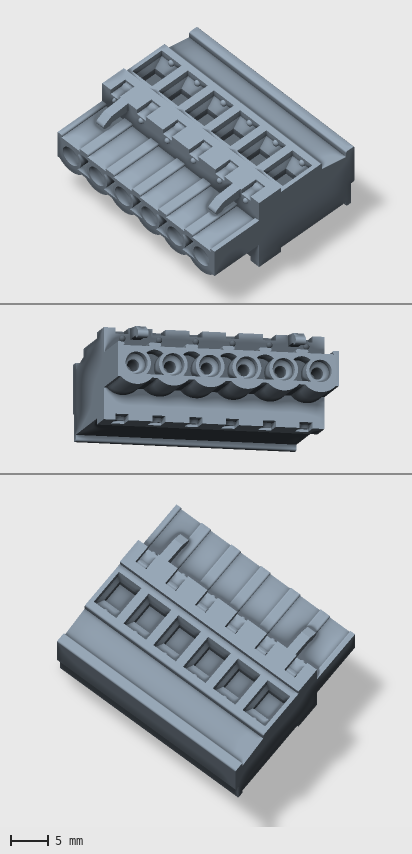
import cadquery as cq
import math


width = 30.48
depth = 26.0
height = 12.6
poles = 6
pitch = width / poles
pole_xs = [(i - (poles - 1) / 2) * pitch for i in range(poles)]
gap_xs = [(i - poles / 2) * pitch for i in range(poles + 1)]

plug_length = 8.3
collar_back = 12.3
step = 0.82
deck_z = height - step
deck_back = 19.95
slope_top_z = 10.67
slope_bottom_z = 9.7
ridge_front = 24.45
ridge_z = 10.7
heel_y = 25.4
heel_z = 3.85
edge_round = 0.25

plug_bottom_z = 4.35
plug_top_z = 9.15
hole_z = 6.3
shell_radius = 2.9
hole_radius = 1.52
bore_radius = 0.82
hole_depth = 1.5
funnel_depth = 0.52
bore_end = 6.7

rib_height = 0.5
rib_flat = 1.22
rib_round = rib_height / 2

relief_radius = 1.98
relief_bottom_z = 4.82
relief_corner_z = 7.75
relief_top_z = 8.2
relief_depth = 3.05

window_width = 3.85
window_front = 13.3
window_back = 18.78
window_lean = 0.25
taper_top_z = 10.67
taper_bottom_z = 9.8
well_width = 2.9
well_front = 13.7
well_back = 17.1
well_floor_z = 8.78

notch_width = 1.8
notch_back = 11.0
stop_width = 1.45
stop_ramp_front = 9.95
stop_ramp_back = 10.52
stop_height = 0.45

collar_pip_radius = 0.43
window_pip_radius = 0.5
collar_pip_z = 11.13
window_pip_z = 10.8

hook_width = 1.43
hook_x = 10.88
hook_bend_y = 5.15
hook_bend_z = 12.3
hook_tip_y = 3.7
hook_tip_z = 10.67
hook_tip_radius = 0.5
hook_under_z = 11.03
barb_back = 5.25
barb_front = 4.9


def along_x(sketch, length):
    """Extrude a closed (Y, Z) outline along X, centred on X = 0."""
    return sketch.extrude(length).translate((-length / 2, 0, 0))


def box(x_size, y_range, z_range):
    """Box centred on X = 0 that spans the given Y and Z ranges."""
    size_y = y_range[1] - y_range[0]
    size_z = z_range[1] - z_range[0]
    solid = cq.Workplane("XY").box(x_size, size_y, size_z, centered=(True, False, False))
    return solid.translate((0, y_range[0], z_range[0]))


def make_housing():
    outline = [
        (plug_length, 0),
        (plug_length, height),
        (collar_back, height),
        (collar_back, deck_z),
        (deck_back, deck_z),
        (deck_back, slope_top_z),
        (ridge_front, slope_bottom_z),
        (ridge_front, ridge_z),
        (depth, ridge_z),
        (depth, heel_z),
        (heel_y, heel_z),
        (heel_y, 0),
        (ridge_front, 0),
        (ridge_front, step),
        (collar_back, step),
        (collar_back, 0),
    ]
    rounded = [
        (deck_back, deck_z),
        (ridge_front, ridge_z),
        (depth, ridge_z),
        (depth, heel_z),
        (ridge_front, 0),
    ]
    reach = edge_round / 4
    housing = along_x(cq.Workplane("YZ").polyline(outline).close(), width)
    for y, z in rounded:
        low = (-reach, y - reach, z - reach)
        high = (reach, y + reach, z + reach)
        corner = cq.selectors.BoxSelector(low, high)
        housing = housing.edges(corner).fillet(edge_round)
    return housing


def make_plug():
    floor_z = plug_top_z - rib_height
    plug = box(width, (0, plug_length), (plug_bottom_z, floor_z))
    for x in pole_xs:
        shell = cq.Workplane("XZ").center(x, hole_z).circle(shell_radius).extrude(-plug_length)
        plug = plug.union(shell)
    rib = box(rib_flat, (0, plug_length), (floor_z, plug_top_z))
    for side in (-1, 1):
        edge = cq.Workplane("XZ").center(side * rib_flat / 2, floor_z + rib_round)
        rib = rib.union(edge.circle(rib_round).extrude(-plug_length))
    plug = plug.intersect(box(width, (0, plug_length), (0, floor_z)))
    for x in gap_xs:
        plug = plug.union(rib.translate((x, 0, 0)))
    return plug.intersect(box(width, (0, plug_length), (0, plug_top_z)))


def make_contact_hole():
    profile = [
        (0, 0),
        (hole_radius, 0),
        (hole_radius, hole_depth),
        (bore_radius, hole_depth + funnel_depth),
        (bore_radius, bore_end),
        (0, bore_end),
    ]
    hole = cq.Workplane("XY").polyline(profile).close().revolve(360, (0, 0, 0), (0, 1, 0))
    return hole.translate((0, 0, hole_z))


def make_relief():
    def shell_x(z):
        """Half width of the relief where it meets the wall round a hole."""
        return pitch / 2 - math.sqrt(relief_radius**2 - (z - hole_z) ** 2)

    bottom_x = shell_x(relief_bottom_z)
    corner_x = shell_x(relief_corner_z)
    waist_x = shell_x(hole_z)
    relief = (
        cq.Workplane("XZ")
        .moveTo(-bottom_x, relief_bottom_z)
        .lineTo(bottom_x, relief_bottom_z)
        .threePointArc((waist_x, hole_z), (corner_x, relief_corner_z))
        .threePointArc((0, relief_top_z), (-corner_x, relief_corner_z))
        .threePointArc((-waist_x, hole_z), (-bottom_x, relief_bottom_z))
        .close()
    )
    return relief.extrude(-relief_depth)


def make_window():
    lean_front = window_front + window_lean
    upper = [
        (window_front, deck_z),
        (window_back, deck_z),
        (window_back, taper_top_z),
        (lean_front, taper_top_z),
    ]
    window = along_x(cq.Workplane("YZ").polyline(upper).close(), window_width)
    top_length = window_back - lean_front
    well_length = well_back - well_front
    well_shift = (well_front + well_back - lean_front - window_back) / 2
    taper = (
        cq.Workplane("XY", origin=(0, (lean_front + window_back) / 2, taper_top_z))
        .rect(window_width, top_length)
        .workplane(offset=taper_bottom_z - taper_top_z)
        .center(0, well_shift)
        .rect(well_width, well_length)
        .loft(ruled=True)
    )
    well = box(well_width, (well_front, well_back), (well_floor_z, taper_bottom_z))
    pip = cq.Workplane("XY").sphere(window_pip_radius).translate((0, window_back, window_pip_z))
    return window.union(taper).union(well).cut(pip)


def make_notch():
    """Notch through the top of the collar, less the stop left standing in it."""
    stop_outline = [
        (stop_ramp_front, deck_z),
        (stop_ramp_back, deck_z + stop_height),
        (notch_back, deck_z + stop_height),
        (notch_back, deck_z),
    ]
    stop = along_x(cq.Workplane("YZ").polyline(stop_outline).close(), stop_width)
    return box(notch_width, (plug_length, notch_back), (deck_z, height)).cut(stop)


def make_hook():
    tip_center_y = hook_tip_y + hook_tip_radius
    tip_center_z = hook_tip_z + hook_tip_radius
    reach_y = hook_bend_y - tip_center_y
    reach_z = hook_bend_z - tip_center_z
    distance = math.hypot(reach_y, reach_z)
    angle = math.atan2(reach_z, reach_y) + math.acos(hook_tip_radius / distance)

    def on_tip(direction):
        return (
            tip_center_y + hook_tip_radius * math.cos(direction),
            tip_center_z + hook_tip_radius * math.sin(direction),
        )

    outline = (
        cq.Workplane("YZ")
        .moveTo(plug_length, hook_under_z)
        .lineTo(plug_length, height)
        .lineTo(hook_bend_y, hook_bend_z)
        .lineTo(*on_tip(angle))
        .threePointArc(on_tip(math.pi), (tip_center_y, hook_tip_z))
        .lineTo(barb_front, hook_tip_z)
        .lineTo(barb_back, hook_under_z)
        .close()
    )
    return along_x(outline, hook_width)


result = make_housing().union(make_plug())

contact_hole = make_contact_hole()
window = make_window()
top_notch = make_notch()
bottom_notch = top_notch.mirror("XY").translate((0, 0, height))
collar_pip = cq.Workplane("XY").sphere(collar_pip_radius).translate((0, plug_length, collar_pip_z))
for x in pole_xs:
    for cutter in (contact_hole, window, top_notch, bottom_notch):
        result = result.cut(cutter.translate((x, 0, 0)))
    result = result.union(collar_pip.translate((x, 0, 0)))

relief = make_relief()
for x in gap_xs[1:-1]:
    result = result.cut(relief.translate((x, 0, 0)))

hook = make_hook()
for x in (-hook_x, hook_x):
    result = result.union(hook.translate((x, 0, 0)))